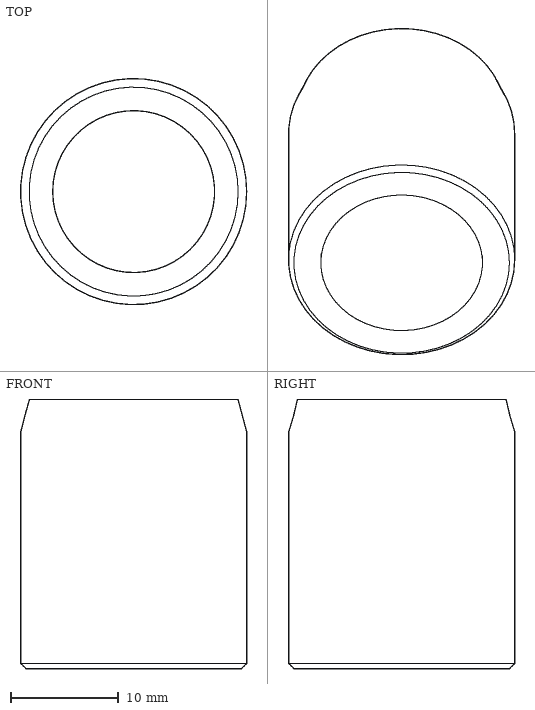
import cadquery as cq
import math

outer_diameter = 21.0
bore_diameter = 15.0
length = 25.0
lead_in_height = 3.0
lead_in_angle = 15.0
bottom_chamfer = 0.5
bore_mouth_radius = 1.0

outer_radius = outer_diameter / 2
top_radius = outer_radius - lead_in_height * math.tan(math.radians(lead_in_angle))


def make_body():
    """Solid turned body with a tapered top and a chamfered bottom edge."""
    return (
        cq.Workplane("XZ")
        .moveTo(0, 0)
        .lineTo(outer_radius - bottom_chamfer, 0)
        .lineTo(outer_radius, bottom_chamfer)
        .lineTo(outer_radius, length - lead_in_height)
        .lineTo(top_radius, length)
        .lineTo(0, length)
        .close()
        .revolve(360, (0, 0, 0), (0, 1, 0))
    )


def cut_bore(body):
    """Through bore whose upper mouth is rounded."""
    bored = body.faces(">Z").workplane(origin=(0, 0, length)).hole(bore_diameter)
    bore_mouth = cq.selectors.RadiusNthSelector(0)
    return bored.faces(">Z").edges(bore_mouth).fillet(bore_mouth_radius)


result = cut_bore(make_body())